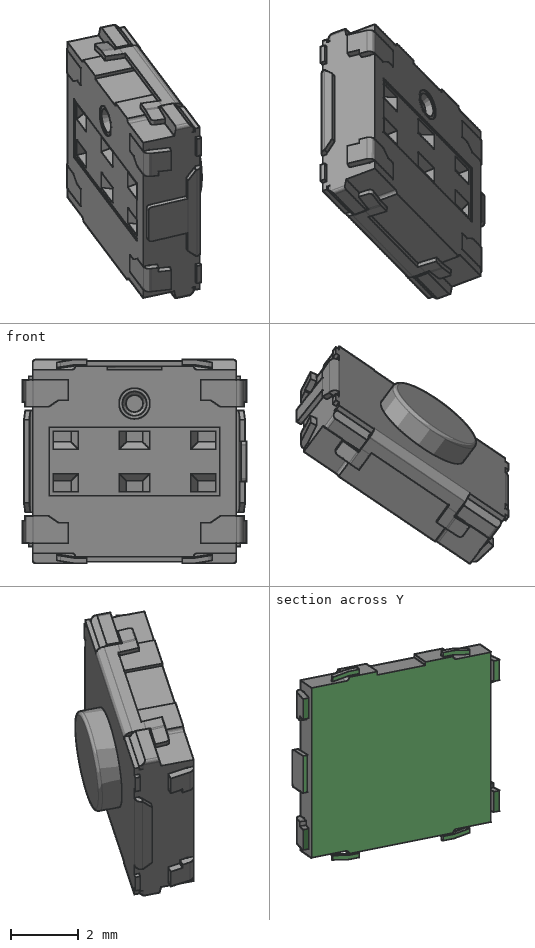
import cadquery as cq
import math

TERMINAL_SPAN = 6.6
BODY_SIZE = 6.0
OVERALL_DEPTH = 2.5
COVER_FRONT_Y = 1.8
SHEET = 0.15
BODY_HALF = BODY_SIZE / 2
COVER_BACK_Y = COVER_FRONT_Y - SHEET

CORNER_STEP_Z = 2.7
MIDDLE_Z = 2.805
MIDDLE_HALF_WIDTH = 1.74
STEP_FILLET = MIDDLE_Z - CORNER_STEP_Z
RELIEF_WIDTH = 1.6
RIDGE_BOTTOM_Y = 0.99
RIDGE_DRAFT = 0.06
RIDGE_CHAMFER = BODY_HALF - MIDDLE_Z
RIDGE_FILLET = 0.1

PANEL_WIDTH = 5.015
PANEL_HEIGHT = 2.005
PANEL_DEPTH = 0.05
WINDOW_OUTER_X = 2.395
WINDOW_INNER_X = 1.65
MIDDLE_WINDOW_HALF_WIDTH = 0.455
WINDOW_OUTER_Z = 0.89
WINDOW_INNER_Z = 0.355
WINDOW_TAPER = 0.22
WINDOW_FLOOR_Y = 0.38

HOLE_Z = 1.7
COUNTERBORE_RADIUS = 0.455
COUNTERBORE_DEPTH = 0.03
HOLE_RADIUS = 0.355
HOLE_FLOOR_RADIUS = 0.25
HOLE_FLOOR_Y = 0.23

STRIP_BEND_RADIUS = 0.25
STRIP_HALF_WIDTH = 1.72
STRIP_OUTER_Z = MIDDLE_Z + SHEET
STRIP_END_Y = 1.195
LEG_INNER_X = 1.4
LEG_TOP_Y = 1.13
LEG_LENGTH = 0.57
LEG_ANGLE = 4.3
EAR_END_X = 2.29
EAR_WIDTH = 0.435
EAR_ANGLE = 9.0
EAR_BEND_RADIUS = 0.33
EAR_FILLET = 0.1
FLANGE_HALF_WIDTH = 1.5
FLANGE_BEND_RADIUS = 0.22
FLANGE_ANGLE = 8.0
FLANGE_END_Y = 1.32
FLANGE_CHAMFER = 0.28
TONGUE_WIDTH = 1.19
TONGUE_END_Y = 0.05
TONGUE_FILLET = 0.1
TAB_PROJECTION = 0.12
TAB_INNER_Z = 1.91
TAB_OUTER_Z = 2.51

PLUNGER_RADIUS = 1.5
PLUNGER_FILLET = 0.1

TERMINAL_SHEET = 0.2
LEAF_ANGLE = 9.8
FOOT_INNER_X = 1.955
FOOT_TAPER_START_X = 2.53
FOOT_TAPER_END_X = 2.24
TERMINAL_OUTER_Z = 2.4
TERMINAL_INNER_Z = 1.605
FOOT_NARROW_INNER_Z = 1.8
LEAF_NARROW_INNER_Z = 1.74
LEAF_STEP_LENGTH = 0.24


def box(x_range, y_range, z_range):
    """Box between the given limits."""
    size = [high - low for low, high in (x_range, y_range, z_range)]
    corner = (x_range[0], y_range[0], z_range[0])
    return cq.Workplane("XY").box(*size, centered=False).translate(corner)


def mirrored_pair(shape, plane):
    """The shape joined with its mirror image."""
    return shape.union(shape.mirror(plane))


def extrude_x(points, x_start, x_end):
    """Closed (Y, Z) outline extruded along X."""
    outline = cq.Workplane("YZ", origin=(x_start, 0, 0)).polyline(points).close()
    return outline.extrude(x_end - x_start)


def extrude_z(outline_xy, z_start, z_end):
    """Closed XY outline extruded along Z."""
    return outline_xy.extrude(z_end - z_start).translate((0, 0, z_start))


def bent_sheet(radius, tilt, end_y):
    """XY outline of sheet that leaves the plate towards +X and bends down to a leaf.

    The sheet starts one thickness inside the plate, and its bend is centred on X = 0.
    The leaf leans outwards by `tilt` degrees.
    """
    lean = math.radians(tilt)
    inner_radius = radius - SHEET
    centre_y = COVER_FRONT_Y - radius

    def on_bend(side_radius, angle):
        return side_radius * math.cos(angle), centre_y + side_radius * math.sin(angle)

    def on_leaf_end(side_radius):
        x, y = on_bend(side_radius, lean)
        return x + (y - end_y) * math.tan(lean), end_y

    middle = (lean + math.pi / 2) / 2
    return (
        cq.Workplane("XY")
        .moveTo(-SHEET, COVER_FRONT_Y)
        .lineTo(0, COVER_FRONT_Y)
        .threePointArc(on_bend(radius, middle), on_bend(radius, lean))
        .lineTo(*on_leaf_end(radius))
        .lineTo(*on_leaf_end(inner_radius))
        .lineTo(*on_bend(inner_radius, lean))
        .threePointArc(on_bend(inner_radius, middle), (0, COVER_BACK_Y))
        .lineTo(-SHEET, COVER_BACK_Y)
        .close()
    )


def corner_ridge():
    """Drafted ridge on the +X, +Z corner: rounded at its outer end, then chamfered towards the cover."""
    outline = [
        (RIDGE_BOTTOM_Y, CORNER_STEP_Z),
        (RIDGE_BOTTOM_Y + RIDGE_DRAFT, BODY_HALF),
        (COVER_BACK_Y, BODY_HALF),
        (COVER_BACK_Y, CORNER_STEP_Z),
    ]
    chamfer = [
        (COVER_BACK_Y - RIDGE_CHAMFER, BODY_HALF),
        (COVER_BACK_Y, BODY_HALF),
        (COVER_BACK_Y, BODY_HALF - RIDGE_CHAMFER),
    ]
    ridge = extrude_x(outline, MIDDLE_HALF_WIDTH, BODY_HALF)
    top_edge = ridge.faces(">X").edges(">Z")
    rounded = top_edge.add(ridge.faces(">X").edges(">Y")).fillet(RIDGE_FILLET)
    return rounded.cut(extrude_x(chamfer, MIDDLE_HALF_WIDTH, BODY_HALF))


def middle_block():
    """Taller middle of the housing, with a concave fillet down to each corner step."""
    fillet_end = MIDDLE_HALF_WIDTH + STEP_FILLET
    half = (
        cq.Workplane("XZ")
        .moveTo(0, 0)
        .lineTo(fillet_end, 0)
        .lineTo(fillet_end, CORNER_STEP_Z)
        .radiusArc((MIDDLE_HALF_WIDTH, MIDDLE_Z), STEP_FILLET)
        .lineTo(0, MIDDLE_Z)
        .close()
        .extrude(-COVER_BACK_Y)
    )
    return mirrored_pair(mirrored_pair(half, "YZ"), "XY")


def relief_notch():
    """Shallow relief in the +Z wall, behind the cover strip."""
    half = RELIEF_WIDTH / 2
    return box((-half, half), (0, COVER_BACK_Y), (CORNER_STEP_Z, MIDDLE_Z))


def tapered_window(x_low, x_high, taper_low, taper_high):
    """Window above the panel centre: its sides at X and its inner side narrow to the floor."""
    mouth = cq.Workplane("XZ", origin=(0, PANEL_DEPTH, 0)).moveTo(x_low, WINDOW_INNER_Z)
    mouth = mouth.lineTo(x_high, WINDOW_INNER_Z).lineTo(x_high, WINDOW_OUTER_Z)
    mouth = mouth.lineTo(x_low, WINDOW_OUTER_Z).close()
    floor_low = x_low + taper_low
    floor_high = x_high - taper_high
    floor_inner_z = WINDOW_INNER_Z + WINDOW_TAPER
    floor = mouth.workplane(offset=PANEL_DEPTH - WINDOW_FLOOR_Y).moveTo(floor_low, floor_inner_z)
    floor = floor.lineTo(floor_high, floor_inner_z).lineTo(floor_high, WINDOW_OUTER_Z)
    floor = floor.lineTo(floor_low, WINDOW_OUTER_Z).close()
    return floor.loft(ruled=True, combine=True)


def panel_recess():
    """Rectangular panel recess and its six windows."""
    panel = cq.Workplane("XZ").rect(PANEL_WIDTH, PANEL_HEIGHT).extrude(-PANEL_DEPTH)
    side = tapered_window(WINDOW_INNER_X, WINDOW_OUTER_X, WINDOW_TAPER, 0)
    middle = tapered_window(
        -MIDDLE_WINDOW_HALF_WIDTH, MIDDLE_WINDOW_HALF_WIDTH, WINDOW_TAPER, WINDOW_TAPER
    )
    row = mirrored_pair(side, "YZ").union(middle)
    return panel.union(mirrored_pair(row, "XY"))


def conical_hole():
    """Conical blind hole with a shallow counterbore."""
    profile = [
        (0, 0),
        (COUNTERBORE_RADIUS, 0),
        (COUNTERBORE_RADIUS, COUNTERBORE_DEPTH),
        (HOLE_RADIUS, COUNTERBORE_DEPTH),
        (HOLE_FLOOR_RADIUS, HOLE_FLOOR_Y),
        (0, HOLE_FLOOR_Y),
    ]
    hole = cq.Workplane("XY").polyline(profile).close().revolve(360, (0, 0, 0), (0, 1, 0))
    return hole.translate((0, 0, HOLE_Z))


def ear():
    """Ear beside the +X leg, leaning with the leg and bent back inwards."""
    bend = math.radians(EAR_ANGLE)

    def on_bend(side_radius, angle):
        x = STRIP_HALF_WIDTH + side_radius * math.sin(angle)
        return x, side_radius * math.cos(angle) - EAR_BEND_RADIUS

    def at_end(side_radius):
        x, z = on_bend(side_radius, bend)
        return EAR_END_X, z - (EAR_END_X - x) * math.tan(bend)

    inner_radius = EAR_BEND_RADIUS - SHEET
    outline = (
        cq.Workplane("XZ")
        .moveTo(*on_bend(EAR_BEND_RADIUS, 0))
        .threePointArc(on_bend(EAR_BEND_RADIUS, bend / 2), on_bend(EAR_BEND_RADIUS, bend))
        .lineTo(*at_end(EAR_BEND_RADIUS))
        .lineTo(*at_end(inner_radius))
        .lineTo(*on_bend(inner_radius, bend))
        .threePointArc(on_bend(inner_radius, bend / 2), on_bend(inner_radius, 0))
        .close()
    )
    blank = outline.extrude(EAR_WIDTH).translate((0, EAR_WIDTH - LEG_LENGTH, 0))
    rounded = blank.faces(">X").edges("<Y").fillet(EAR_FILLET)
    leaning_ear = rounded.rotate((0, 0, 0), (1, 0, 0), -LEG_ANGLE)
    return leaning_ear.translate((0, LEG_TOP_Y, STRIP_OUTER_Z))


def leg():
    """Leg at the +X end of the top strip, bent to lean outwards."""
    lean = math.radians(LEG_ANGLE)
    inner_bend_y = LEG_TOP_Y - SHEET * math.tan(lean / 2)
    tip_y = LEG_TOP_Y - LEG_LENGTH * math.cos(lean)
    tip_z = STRIP_OUTER_Z + LEG_LENGTH * math.sin(lean)
    outline = [
        (STRIP_END_Y, STRIP_OUTER_Z),
        (LEG_TOP_Y, STRIP_OUTER_Z),
        (tip_y, tip_z),
        (tip_y - SHEET * math.sin(lean), tip_z - SHEET * math.cos(lean)),
        (inner_bend_y, MIDDLE_Z),
        (STRIP_END_Y, MIDDLE_Z),
    ]
    return extrude_x(outline, LEG_INNER_X, STRIP_HALF_WIDTH)


def plate_corner():
    """Corner of the flat cover plate beside the end of the strip."""
    return box((STRIP_HALF_WIDTH, BODY_HALF), (COVER_BACK_Y, COVER_FRONT_Y), (CORNER_STEP_Z, MIDDLE_Z))


def cover_strip():
    """Strip bent over the +Z wall, ending in two clips."""
    width = 2 * STRIP_HALF_WIDTH
    bend_z = STRIP_OUTER_Z - STRIP_BEND_RADIUS
    strip = bent_sheet(STRIP_BEND_RADIUS, 0, STRIP_END_Y).extrude(width)
    strip = strip.translate((0, 0, -STRIP_HALF_WIDTH)).rotate((0, 0, 0), (0, 1, 0), -90)
    strip = strip.translate((0, 0, bend_z))
    return strip.union(mirrored_pair(leg().union(ear()), "YZ"))


def side_flange():
    """Bent flange on the +X side with chamfered lower corners."""
    half = FLANGE_HALF_WIDTH
    outline = bent_sheet(FLANGE_BEND_RADIUS, FLANGE_ANGLE, FLANGE_END_Y)
    sheet = extrude_z(outline, -half, half)
    chamfer_top = FLANGE_END_Y + FLANGE_CHAMFER
    chamfered = [
        (COVER_FRONT_Y, -half),
        (chamfer_top, -half),
        (FLANGE_END_Y, FLANGE_CHAMFER - half),
        (FLANGE_END_Y, half - FLANGE_CHAMFER),
        (chamfer_top, half),
        (COVER_FRONT_Y, half),
    ]
    trimmed = sheet.intersect(extrude_x(chamfered, -FLANGE_BEND_RADIUS, 2 * FLANGE_BEND_RADIUS))
    return trimmed.translate((BODY_HALF, 0, 0))


def tongue():
    """Long tongue that continues the +X flange, at a steeper angle, down to the underside."""
    half = TONGUE_WIDTH / 2
    lean = math.radians(FLANGE_ANGLE)
    bend_end_y = COVER_FRONT_Y - FLANGE_BEND_RADIUS * (1 - math.sin(lean))
    bend_end_x = BODY_HALF + FLANGE_BEND_RADIUS * math.cos(lean)
    top_x = bend_end_x + (bend_end_y - FLANGE_END_Y) * math.tan(lean)
    tip_x = TERMINAL_SPAN / 2
    thickness_x = SHEET / math.cos(lean)
    outline = [
        (top_x, FLANGE_END_Y),
        (tip_x, TONGUE_END_Y),
        (tip_x - thickness_x, TONGUE_END_Y),
        (top_x - thickness_x, FLANGE_END_Y),
    ]
    sheet = extrude_z(cq.Workplane("XY").polyline(outline).close(), -half, half)
    return sheet.faces("<Y").edges("|X").fillet(TONGUE_FILLET)


def cover_tabs():
    """Four short tabs in the plane of the cover plate."""
    tab = box(
        (BODY_HALF - TAB_PROJECTION, BODY_HALF + TAB_PROJECTION),
        (COVER_BACK_Y, COVER_FRONT_Y),
        (TAB_INNER_Z, TAB_OUTER_Z),
    )
    return mirrored_pair(mirrored_pair(tab, "YZ"), "XY")


def plunger():
    """Round plunger with a rounded front edge."""
    height = OVERALL_DEPTH - COVER_FRONT_Y
    disc = cq.Workplane("XZ", origin=(0, COVER_FRONT_Y, 0)).circle(PLUNGER_RADIUS).extrude(-height)
    return disc.faces(">Y").edges().fillet(PLUNGER_FILLET)


def terminal_foot():
    """Foot of the +X, +Z terminal, which narrows towards its inner end."""
    outline = [
        (BODY_HALF, TERMINAL_OUTER_Z),
        (FOOT_INNER_X, TERMINAL_OUTER_Z),
        (FOOT_INNER_X, FOOT_NARROW_INNER_Z),
        (FOOT_TAPER_END_X, FOOT_NARROW_INNER_Z),
        (FOOT_TAPER_START_X, TERMINAL_INNER_Z),
        (BODY_HALF, TERMINAL_INNER_Z),
    ]
    return cq.Workplane("XZ").polyline(outline).close().extrude(-TERMINAL_SHEET)


def terminal_leaf(length, inner_z):
    """Bend and leaf of the +X, +Z terminal, turned about the lower edge of the leaf's inner side."""
    lean = math.radians(LEAF_ANGLE)
    out_x, out_y = math.cos(lean), -math.sin(lean)
    middle = (lean + math.pi / 2) / 2

    def leaf_point(outward, along):
        x = BODY_HALF + outward * out_x + along * math.sin(lean)
        return x, TERMINAL_SHEET + outward * out_y + along * math.cos(lean)

    bend_middle = (
        BODY_HALF + TERMINAL_SHEET * math.cos(middle),
        TERMINAL_SHEET - TERMINAL_SHEET * math.sin(middle),
    )
    outline = (
        cq.Workplane("XY")
        .moveTo(BODY_HALF, TERMINAL_SHEET)
        .lineTo(BODY_HALF, 0)
        .threePointArc(bend_middle, leaf_point(TERMINAL_SHEET, 0))
        .lineTo(*leaf_point(TERMINAL_SHEET, length))
        .lineTo(*leaf_point(0, length))
        .close()
    )
    return extrude_z(outline, inner_z, TERMINAL_OUTER_Z)


def terminal():
    """Complete +X, +Z terminal: the leaf is as long as the overall span asks."""
    lean = math.radians(LEAF_ANGLE)
    reach = TERMINAL_SPAN / 2 - BODY_HALF
    length = (reach - TERMINAL_SHEET * math.cos(lean)) / math.sin(lean)
    wide_leaf = terminal_leaf(LEAF_STEP_LENGTH, TERMINAL_INNER_Z)
    narrow_leaf = terminal_leaf(length, LEAF_NARROW_INNER_Z)
    return terminal_foot().union(wide_leaf).union(narrow_leaf)


def four_corners(shape):
    """The +X, +Z shape and its mirror images, as four separate shapes."""
    right = [shape, shape.mirror("XY")]
    left = [item.mirror("YZ") for item in right]
    return right + left


def switch_body():
    """Housing, cover and plunger in one solid, with seats for the terminal feet."""
    body = box((-BODY_HALF, BODY_HALF), (0, COVER_FRONT_Y), (-CORNER_STEP_Z, CORNER_STEP_Z))
    body = body.union(middle_block())
    body = body.cut(relief_notch())
    for corner in four_corners(plate_corner()):
        body = body.union(corner)
    for ridge in four_corners(corner_ridge()):
        body = body.union(ridge)
    body = body.union(mirrored_pair(cover_strip(), "XY"))
    body = body.union(mirrored_pair(side_flange(), "YZ"))
    body = body.union(tongue())
    body = body.union(cover_tabs())
    body = body.union(plunger())
    body = body.cut(panel_recess())
    body = body.cut(conical_hole())
    for foot in four_corners(terminal_foot()):
        body = body.cut(foot)
    return body.clean()


body = switch_body()
terminals = four_corners(terminal())

result = cq.Compound.makeCompound([body.val(), *[item.val() for item in terminals]])